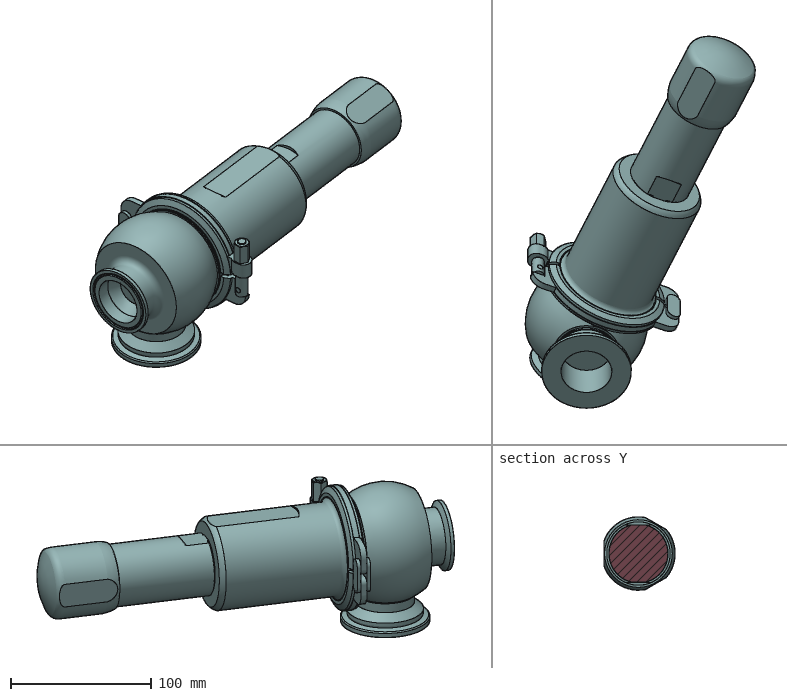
import cadquery as cq
import math


BALL_RADIUS = 43.5
OUTLET_Y = 44.0
INLET_SHOULDER_Y = 20.5
OUTLET_SHOULDER_Z = -36.7
COLLAR_START_Y = 68.5
COLLAR_RADIUS = 37.3
COLLAR_END_Y = 70.0
JOINT_NECK_RADIUS = 36.7

NECK_RADIUS = 20.8
NECK_FILLET = 5.0
INLET_FLANGE_RADIUS = 25.3
INLET_FLANGE_EDGE = 2.7
INLET_FLANGE_BACK = 5.0
INLET_BORE_RADIUS = 17.2
INLET_BORE_DEPTH = 10.0
SEAT_RADIUS = 12.0
SEAT_DEPTH = 18.0
SEAL_GROOVE_INNER = 21.0
SEAL_GROOVE_OUTER = 23.0
SEAL_GROOVE_SLOPE = 0.45
SEAL_GROOVE_DEPTH = 1.0

OUTLET_FACE_Z = -60.2
OUTLET_COLLAR_RADIUS = 22.0
OUTLET_COLLAR_END_Z = -38.2
OUTLET_NECK_RADIUS = 21.0
OUTLET_NECK_END_Z = -45.5
OUTLET_HUB_RADIUS = 27.5
OUTLET_HUB_START_Z = -51.0
OUTLET_HUB_END_Z = -53.5
OUTLET_GROOVE_RADIUS = 27.0
OUTLET_GROOVE_Z = -54.8
OUTLET_FLANGE_RADIUS = 32.0
OUTLET_FLANGE_BACK_RADIUS = 29.0
OUTLET_FLANGE_BACK_Z = -55.5
OUTLET_FLANGE_EDGE_RADIUS = 31.0
OUTLET_FLANGE_EDGE_Z = -56.0
OUTLET_FLANGE_RIM_Z = -57.0
OUTLET_BORE_RADIUS = 18.0
OUTLET_BORE_DEPTH = 27.0

JOINT_Y = 77.0
JOINT_FLANGE_RADIUS = 41.0
JOINT_EDGE_HALF = 2.5
JOINT_SLOPE = 0.38

CLAMP_BORE_RADIUS = 37.3
CLAMP_SIDE_HALF = 6.3
CLAMP_SIDE_RADIUS = 40.0
CLAMP_CREST_HALF = 4.2
CLAMP_CREST_RADIUS = 44.5
CLAMP_RIB_RADIUS = 45.0
PLATE_THICKNESS = 4.5
CLAMP_GAP_HALF = 1.5
PLATE_HEIGHT = 23.8
PLATE_OUTER_CORNER = 10.0
PLATE_INNER_CORNER = 4.2
PLATE_ROOT_RADIUS = 42.0

HINGE_X = 51.5
LINK_WIDTH = 10.0
LINK_LENGTH = 25.5
LINK_THICKNESS = 2.7

LUG_WIDTH = 12.3
LUG_CENTRE_SPACING = 2.7
LUG_BOTTOM = 4.8
LUG_TOP = 16.5
LUG_ARM_THICKNESS = 7.8

BOLT_RADIUS = 3.0
BOLT_TOP = 32.5
BARREL_RADIUS = 4.5
BARREL_TOP = 3.3
BARREL_BOTTOM = -13.8
TRUNNION_RADIUS = 2.0
TRUNNION_Z = -8.5
NUT_CORNERS = 11.7
NUT_TOP = 31.5
NUT_TURN = -5
NUT_CHAMFER = 1.0

BONNET_RADIUS = 34.0
BONNET_START_Y = 86.7
BONNET_TOP_Y = 177.0
BONNET_ROUND_LENGTH = 4.2
BONNET_ROUND_DEPTH = 3.0
BONNET_ROUND_BULGE = 0.3
BONNET_FLARE_BULGE = 0.5
NAMEPLATE_HEIGHT = 32.5
NAMEPLATE_START_Y = 111.0

TUBE_RADIUS = 22.5
TUBE_NECK_RADIUS = 21.0
TUBE_START_Y = 178.0
TUBE_FLAT_HEIGHT = 20.5
TUBE_FLAT_END_Y = 194.7

CAP_START_Y = 249.0
CAP_RIM_RADIUS = 24.0
CAP_RADIUS = 26.2
CAP_STRAIGHT_START_Y = 258.0
CAP_STRAIGHT_END_Y = 290.0
DOME_RADIUS = 23.0
DOME_START_Y = 295.5
CAP_TOP_Y = 301.0
CAP_RIM_BULGE = 0.3
CAP_SHOULDER_BULGE = 1.0
CAP_FLAT_DISTANCE = 24.7
CAP_FLAT_ANGLES = (60, 180, 300)

FLAT_END_BOW = 1.8


def arc_middle(start, end, bulge):
    """Point halfway between start and end, moved sideways (to the left) by bulge."""
    dx, dy = end[0] - start[0], end[1] - start[1]
    length = math.hypot(dx, dy)
    return (
        (start[0] + end[0]) / 2 - bulge * dy / length,
        (start[1] + end[1]) / 2 + bulge * dx / length,
    )


def revolve_about_y(profile):
    """Full turn of a closed (radius, y) outline about the valve axis."""
    return profile.revolve(360, (0, 0, 0), (0, 1, 0))


def box_between(x_range, y_range, z_range):
    """Box from its limits along each axis."""
    sizes = [high - low for low, high in (x_range, y_range, z_range)]
    corner = (x_range[0], y_range[0], z_range[0])
    return cq.Workplane("XY").box(*sizes, centered=False).translate(corner)


def joint_half_thickness(radius):
    """Half thickness of the paired joint flanges at a radius."""
    return JOINT_EDGE_HALF + JOINT_SLOPE * (JOINT_FLANGE_RADIUS - radius)


def milled_flat(tube_radius, height, open_y, end_y):
    """Cutter for a flat at Z = height on a round of tube_radius.

    The flat is open at open_y; its far end is an upright wall that bows outward from end_y.
    """
    half_width = math.sqrt(tube_radius**2 - height**2)
    bow = math.copysign(FLAT_END_BOW, end_y - open_y)
    return (
        cq.Workplane("XY", origin=(0, 0, height))
        .moveTo(-half_width, open_y)
        .lineTo(-half_width, end_y)
        .threePointArc((0, end_y + bow), (half_width, end_y))
        .lineTo(half_width, open_y)
        .close()
        .extrude(tube_radius)
    )


def make_ball_and_inlet():
    shoulder_radius = math.sqrt(BALL_RADIUS**2 - (OUTLET_Y - INLET_SHOULDER_Y) ** 2)
    ball_end_radius = math.sqrt(BALL_RADIUS**2 - (COLLAR_START_Y - OUTLET_Y) ** 2)
    fillet_start = (NECK_RADIUS, INLET_SHOULDER_Y - NECK_FILLET)
    fillet_end = (NECK_RADIUS + NECK_FILLET, INLET_SHOULDER_Y)
    fillet_shift = NECK_FILLET * (1 - math.cos(math.radians(45)))
    fillet_middle = (NECK_RADIUS + fillet_shift, INLET_SHOULDER_Y - fillet_shift)
    profile = (
        cq.Workplane("XY")
        .moveTo(0, 0)
        .lineTo(INLET_FLANGE_RADIUS, 0)
        .lineTo(INLET_FLANGE_RADIUS, INLET_FLANGE_EDGE)
        .lineTo(NECK_RADIUS, INLET_FLANGE_BACK)
        .lineTo(*fillet_start)
        .threePointArc(fillet_middle, fillet_end)
        .lineTo(shoulder_radius, INLET_SHOULDER_Y)
        .threePointArc((BALL_RADIUS, OUTLET_Y), (ball_end_radius, COLLAR_START_Y))
        .lineTo(COLLAR_RADIUS, COLLAR_START_Y)
        .lineTo(COLLAR_RADIUS, COLLAR_END_Y)
        .lineTo(JOINT_NECK_RADIUS, COLLAR_END_Y)
        .lineTo(JOINT_NECK_RADIUS, JOINT_Y - joint_half_thickness(JOINT_NECK_RADIUS))
        .lineTo(JOINT_FLANGE_RADIUS, JOINT_Y - JOINT_EDGE_HALF)
        .lineTo(JOINT_FLANGE_RADIUS, JOINT_Y)
        .lineTo(0, JOINT_Y)
        .close()
    )
    return revolve_about_y(profile)


def make_outlet():
    """Outlet neck with its stepped ferrule, turned about the vertical outlet axis."""
    outline = [
        (0, OUTLET_SHOULDER_Z),
        (OUTLET_COLLAR_RADIUS, OUTLET_SHOULDER_Z),
        (OUTLET_COLLAR_RADIUS, OUTLET_COLLAR_END_Z),
        (OUTLET_NECK_RADIUS, OUTLET_COLLAR_END_Z),
        (OUTLET_NECK_RADIUS, OUTLET_NECK_END_Z),
        (OUTLET_HUB_RADIUS, OUTLET_HUB_START_Z),
        (OUTLET_HUB_RADIUS, OUTLET_HUB_END_Z),
        (OUTLET_GROOVE_RADIUS, OUTLET_GROOVE_Z),
        (OUTLET_FLANGE_BACK_RADIUS, OUTLET_FLANGE_BACK_Z),
        (OUTLET_FLANGE_EDGE_RADIUS, OUTLET_FLANGE_EDGE_Z),
        (OUTLET_FLANGE_RADIUS, OUTLET_FLANGE_RIM_Z),
        (OUTLET_FLANGE_RADIUS, OUTLET_FACE_Z),
        (0, OUTLET_FACE_Z),
    ]
    plane = cq.Workplane("XZ", origin=(0, OUTLET_Y, 0))
    return plane.polyline(outline).close().revolve(360, (0, 0, 0), (0, 1, 0))


def make_inlet_bore():
    """Straight bore that narrows to the closed valve seat."""
    outline = [
        (0, 0),
        (INLET_BORE_RADIUS, 0),
        (INLET_BORE_RADIUS, INLET_BORE_DEPTH),
        (SEAT_RADIUS, SEAT_DEPTH),
        (0, SEAT_DEPTH),
    ]
    return revolve_about_y(cq.Workplane("XY").polyline(outline).close())


def make_seal_groove():
    """Ring groove with sloped walls in the inlet face."""
    outline = [
        (SEAL_GROOVE_INNER, 0),
        (SEAL_GROOVE_OUTER, 0),
        (SEAL_GROOVE_OUTER - SEAL_GROOVE_SLOPE, SEAL_GROOVE_DEPTH),
        (SEAL_GROOVE_INNER + SEAL_GROOVE_SLOPE, SEAL_GROOVE_DEPTH),
    ]
    return revolve_about_y(cq.Workplane("XY").polyline(outline).close())


def make_body():
    below_shoulder = box_between(
        (-BALL_RADIUS, BALL_RADIUS),
        (INLET_SHOULDER_Y, COLLAR_START_Y),
        (-BALL_RADIUS, OUTLET_SHOULDER_Z),
    )
    outlet_bore = (
        cq.Workplane("XY", origin=(0, OUTLET_Y, OUTLET_FACE_Z))
        .circle(OUTLET_BORE_RADIUS)
        .extrude(OUTLET_BORE_DEPTH)
    )
    body = make_ball_and_inlet().cut(below_shoulder).union(make_outlet())
    return body.cut(make_inlet_bore()).cut(make_seal_groove()).cut(outlet_bore)


def make_bonnet():
    flare_start = (JOINT_NECK_RADIUS, JOINT_Y + CLAMP_SIDE_HALF)
    flare_end = (BONNET_RADIUS, BONNET_START_Y)
    round_start = (BONNET_RADIUS, BONNET_TOP_Y - BONNET_ROUND_LENGTH)
    round_end = (BONNET_RADIUS - BONNET_ROUND_DEPTH, BONNET_TOP_Y)
    profile = (
        cq.Workplane("XY")
        .moveTo(0, JOINT_Y)
        .lineTo(JOINT_FLANGE_RADIUS, JOINT_Y)
        .lineTo(JOINT_FLANGE_RADIUS, JOINT_Y + JOINT_EDGE_HALF)
        .lineTo(JOINT_NECK_RADIUS, JOINT_Y + joint_half_thickness(JOINT_NECK_RADIUS))
        .lineTo(*flare_start)
        .threePointArc(arc_middle(flare_start, flare_end, BONNET_FLARE_BULGE), flare_end)
        .lineTo(*round_start)
        .threePointArc(arc_middle(round_start, round_end, -BONNET_ROUND_BULGE), round_end)
        .lineTo(0, BONNET_TOP_Y)
        .close()
    )
    nameplate = milled_flat(BONNET_RADIUS, NAMEPLATE_HEIGHT, BONNET_TOP_Y, NAMEPLATE_START_Y)
    return revolve_about_y(profile).cut(nameplate)


def make_tube():
    outline = [
        (0, BONNET_TOP_Y),
        (TUBE_NECK_RADIUS, BONNET_TOP_Y),
        (TUBE_NECK_RADIUS, TUBE_START_Y),
        (TUBE_RADIUS, TUBE_START_Y),
        (TUBE_RADIUS, CAP_START_Y),
        (0, CAP_START_Y),
    ]
    tube = revolve_about_y(cq.Workplane("XY").polyline(outline).close())
    upper_flat = milled_flat(TUBE_RADIUS, TUBE_FLAT_HEIGHT, BONNET_TOP_Y, TUBE_FLAT_END_Y)
    return tube.cut(upper_flat).cut(upper_flat.mirror("XY"))


def make_cap():
    rim = (CAP_RIM_RADIUS, CAP_START_Y)
    straight_start = (CAP_RADIUS, CAP_STRAIGHT_START_Y)
    straight_end = (CAP_RADIUS, CAP_STRAIGHT_END_Y)
    dome_start = (DOME_RADIUS, DOME_START_Y)
    apex = (0, CAP_TOP_Y)
    dome_turn = 2 * math.atan((CAP_TOP_Y - DOME_START_Y) / DOME_RADIUS)
    dome_bulge = -math.dist(dome_start, apex) / 2 * math.tan(dome_turn / 4)
    profile = (
        cq.Workplane("XY")
        .moveTo(0, CAP_START_Y)
        .lineTo(*rim)
        .threePointArc(arc_middle(rim, straight_start, -CAP_RIM_BULGE), straight_start)
        .lineTo(*straight_end)
        .threePointArc(arc_middle(straight_end, dome_start, -CAP_SHOULDER_BULGE), dome_start)
        .threePointArc(arc_middle(dome_start, apex, dome_bulge), apex)
        .close()
    )
    cap = revolve_about_y(profile)
    beyond_flat = box_between(
        (CAP_FLAT_DISTANCE, CAP_FLAT_DISTANCE + CAP_RADIUS),
        (CAP_START_Y, CAP_TOP_Y),
        (-CAP_RADIUS, CAP_RADIUS),
    )
    for angle in CAP_FLAT_ANGLES:
        cap = cap.cut(beyond_flat.rotate((0, 0, 0), (0, 1, 0), -angle))
    return cap


def make_clamp_ring():
    rib_half = PLATE_THICKNESS / 2
    upper = [
        (JOINT_FLANGE_RADIUS, JOINT_EDGE_HALF),
        (CLAMP_BORE_RADIUS, joint_half_thickness(CLAMP_BORE_RADIUS)),
        (CLAMP_BORE_RADIUS, CLAMP_SIDE_HALF),
        (CLAMP_SIDE_RADIUS, CLAMP_SIDE_HALF),
        (CLAMP_CREST_RADIUS, CLAMP_CREST_HALF),
        (CLAMP_CREST_RADIUS, rib_half),
        (CLAMP_RIB_RADIUS, rib_half),
    ]
    lower = [(radius, -offset) for radius, offset in reversed(upper)]
    outline = [(radius, JOINT_Y + offset) for radius, offset in upper + lower]
    return revolve_about_y(cq.Workplane("XY").polyline(outline).close())


def make_side_plate():
    """Rounded plate at the left of the upper half, outside the joint flanges."""
    outer_x = -HINGE_X - LINK_WIDTH / 2
    half = PLATE_THICKNESS / 2
    plate = box_between(
        (outer_x, 0), (JOINT_Y - half, JOINT_Y + half), (CLAMP_GAP_HALF, PLATE_HEIGHT)
    )
    plate = plate.edges("|Y and <X and >Z").fillet(PLATE_OUTER_CORNER)
    plate = plate.edges("|Y and <X and <Z").fillet(PLATE_INNER_CORNER)
    root = cq.Workplane("XZ", origin=(0, JOINT_Y, 0)).circle(PLATE_ROOT_RADIUS)
    return plate.cut(root.extrude(PLATE_THICKNESS, both=True))


def ring_half():
    """Upper half of the clamp ring, ending at the gap."""
    reach = CLAMP_RIB_RADIUS
    upper_space = box_between(
        (-reach, reach), (JOINT_Y - reach, JOINT_Y + reach), (CLAMP_GAP_HALF, reach)
    )
    return make_clamp_ring().intersect(upper_space)


def make_upper_clamp():
    lug_height = LUG_TOP - LUG_BOTTOM
    lug = (
        cq.Workplane("XY", origin=(HINGE_X, JOINT_Y, LUG_BOTTOM))
        .slot2D(LUG_CENTRE_SPACING + LUG_WIDTH, LUG_WIDTH)
        .extrude(lug_height)
    )
    arm_half = LUG_ARM_THICKNESS / 2
    arm = box_between((0, HINGE_X), (JOINT_Y - arm_half, JOINT_Y + arm_half), (LUG_BOTTOM, LUG_TOP))
    root = cq.Workplane("XZ", origin=(0, JOINT_Y, 0)).circle(PLATE_ROOT_RADIUS)
    arm = arm.cut(root.extrude(LUG_ARM_THICKNESS, both=True))
    bolt_hole = (
        cq.Workplane("XY", origin=(HINGE_X, JOINT_Y, LUG_BOTTOM)).circle(BOLT_RADIUS).extrude(lug_height)
    )
    return ring_half().union(make_side_plate()).union(arm).union(lug).cut(bolt_hole)


def make_lower_clamp():
    left_plate = make_side_plate().mirror("XY")
    right_plate = left_plate.mirror("YZ")
    notch_start = HINGE_X - BARREL_RADIUS
    barrel_notch = box_between(
        (notch_start, notch_start + 4 * BARREL_RADIUS),
        (JOINT_Y - PLATE_THICKNESS, JOINT_Y + PLATE_THICKNESS),
        (BARREL_BOTTOM, BARREL_TOP),
    )
    right_plate = right_plate.cut(barrel_notch)
    return ring_half().mirror("XY").union(left_plate).union(right_plate)


def make_link(side):
    """Link joining the two left side plates; side is -1 for the front, +1 for the back."""
    inner_y = JOINT_Y + side * PLATE_THICKNESS / 2
    return (
        cq.Workplane("XZ", origin=(-HINGE_X, inner_y, 0))
        .slot2D(LINK_LENGTH, LINK_WIDTH, 90)
        .extrude(-side * LINK_THICKNESS)
    )


def make_clamp_bolt():
    """Threaded shank on a barrel with a short cross trunnion."""
    barrel = (
        cq.Workplane("XY", origin=(HINGE_X, JOINT_Y, BARREL_BOTTOM))
        .circle(BARREL_RADIUS)
        .extrude(BARREL_TOP - BARREL_BOTTOM)
    )
    shank = (
        cq.Workplane("XY", origin=(HINGE_X, JOINT_Y, BARREL_TOP))
        .circle(BOLT_RADIUS)
        .extrude(BOLT_TOP - BARREL_TOP)
    )
    trunnion = (
        cq.Workplane("XZ", origin=(HINGE_X, JOINT_Y, TRUNNION_Z))
        .circle(TRUNNION_RADIUS)
        .extrude(BARREL_RADIUS, both=True)
    )
    return barrel.union(shank).union(trunnion)


def make_nut():
    nut = (
        cq.Workplane("XY", origin=(0, 0, LUG_TOP))
        .polygon(6, NUT_CORNERS)
        .circle(BOLT_RADIUS)
        .extrude(NUT_TOP - LUG_TOP)
    )
    crown = (
        cq.Workplane("XY", origin=(0, 0, LUG_TOP))
        .circle(NUT_CORNERS / 2)
        .extrude(NUT_TOP - LUG_TOP)
        .faces(">Z")
        .chamfer(NUT_CHAMFER)
    )
    nut = nut.intersect(crown).rotate((0, 0, 0), (0, 0, 1), NUT_TURN)
    return nut.translate((HINGE_X, JOINT_Y, 0))


body = make_body().solids()
bonnet = make_bonnet().solids()
tube = make_tube().solids()
cap = make_cap().solids()
upper_clamp = make_upper_clamp().solids()
lower_clamp = make_lower_clamp().solids()
links = [make_link(side).solids() for side in (-1, 1)]
clamp_bolt = make_clamp_bolt().solids()
nut = make_nut().solids()

result = cq.Compound.makeCompound(
    [
        body.val(),
        bonnet.val(),
        tube.val(),
        cap.val(),
        upper_clamp.val(),
        lower_clamp.val(),
        *[link.val() for link in links],
        clamp_bolt.val(),
        nut.val(),
    ]
)